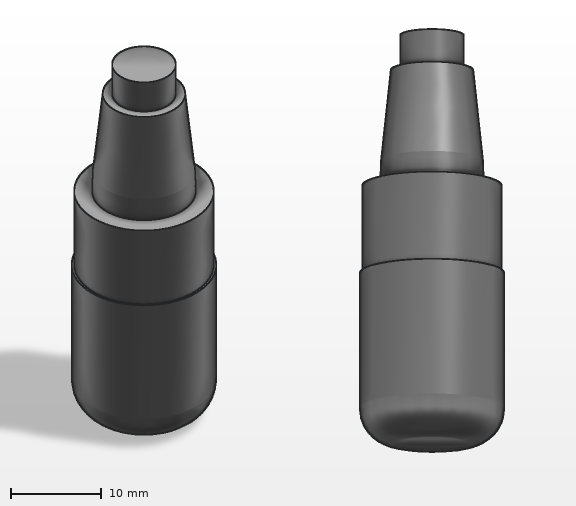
import cadquery as cq

TOTAL_HEIGHT = 46.1
CAP_ROUNDING = 4.05
CAP_HEIGHT = 19.25
BARREL_HEIGHT = 9.85
COLLAR_HEIGHT = 2.75
STUB_HEIGHT = 3.9

CAP_DIAMETER = 16.0
BARREL_DIAMETER = 15.45
COLLAR_BOTTOM_DIAMETER = 11.5
COLLAR_TOP_DIAMETER = 11.3
NOSE_TOP_DIAMETER = 9.15
STUB_DIAMETER = 7.05

BARREL_TOP = CAP_HEIGHT + BARREL_HEIGHT
COLLAR_TOP = BARREL_TOP + COLLAR_HEIGHT
NOSE_TOP = TOTAL_HEIGHT - STUB_HEIGHT


def make_cap():
    """Round lower cap with a rounded bottom edge, centred on the Z axis."""
    cap = cq.Workplane("XY").circle(CAP_DIAMETER / 2).extrude(CAP_HEIGHT)
    return cap.faces("<Z").edges().fillet(CAP_ROUNDING)


def make_stem():
    """Turned stem on top of the cap: barrel, collar, tapered nose and end stub."""
    profile = (
        cq.Workplane("XZ")
        .moveTo(0, CAP_HEIGHT)
        .lineTo(BARREL_DIAMETER / 2, CAP_HEIGHT)
        .lineTo(BARREL_DIAMETER / 2, BARREL_TOP)
        .lineTo(COLLAR_BOTTOM_DIAMETER / 2, BARREL_TOP)
        .lineTo(COLLAR_TOP_DIAMETER / 2, COLLAR_TOP)
        .lineTo(NOSE_TOP_DIAMETER / 2, NOSE_TOP)
        .lineTo(STUB_DIAMETER / 2, NOSE_TOP)
        .lineTo(STUB_DIAMETER / 2, TOTAL_HEIGHT)
        .lineTo(0, TOTAL_HEIGHT)
        .close()
    )
    return profile.revolve(360, (0, 0, 0), (0, 1, 0))


cap = make_cap()
stem = make_stem()

result = cq.Compound.makeCompound([cap.val(), stem.val()])